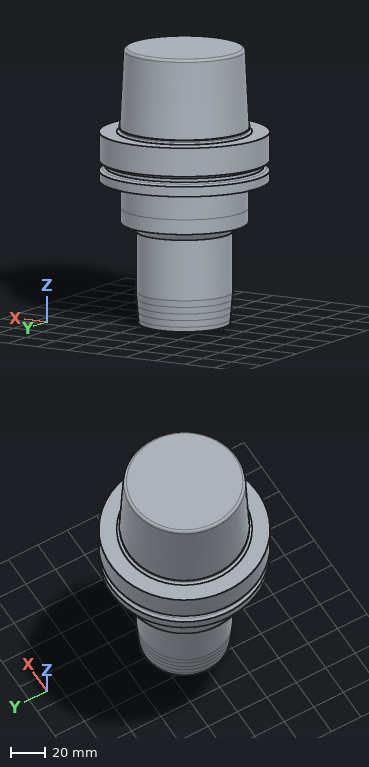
import cadquery as cq
import math


taper_length = 50.0
gauge_radius = 37.8
gauge_height = 6.3
taper_slope = 1 / 20
tip_edge_width = 1.8
tip_edge_height = 1.7

relief_top = 2.4
relief_step_height = 0.5
relief_radius = 37.6
relief_arc_top = 1.0
relief_outer_radius = 39.5

flange_radius = 50.0
flange_height = 28.9
groove_center_z = -19.95
groove_floor_width = 2.1
groove_floor_radius = 46.2
groove_ledge_radius = 48.0
groove_ledge_drop = 0.7
groove_flank_angle = 33.0

collar_radius = 37.5
collar_height = 25.0
collar_ring_z = -45.0
nose_radius = 28.4
shoulder_angle = 30.0
nose_taper_top_z = -95.0
nose_taper_angle = 5.0
nose_ring_pitch = 4.0
nose_ring_count = 4
end_z = -114.9
end_chamfer_height = 1.0
end_chamfer_width = 0.5


def taper_radius(height):
    return gauge_radius - (height - gauge_height) * taper_slope


def nose_taper_radius(z):
    return nose_radius - (nose_taper_top_z - z) * math.tan(math.radians(nose_taper_angle))


def make_taper_flange():
    groove_floor_half = groove_floor_width / 2
    groove_ledge_half = groove_floor_half + groove_ledge_drop
    flank_width = flange_radius - groove_ledge_radius
    groove_mouth_half = groove_ledge_half + flank_width * math.tan(math.radians(groove_flank_angle))
    relief_width = relief_outer_radius - relief_radius
    relief_arc_radius = (relief_width**2 + relief_arc_top**2) / (2 * relief_width)
    tip_edge_z = taper_length - tip_edge_height
    tip_radius = taper_radius(tip_edge_z)

    profile = (
        cq.Workplane("XZ")
        .moveTo(0, -flange_height)
        .lineTo(flange_radius, -flange_height)
        .lineTo(flange_radius, groove_center_z - groove_mouth_half)
        .lineTo(groove_ledge_radius, groove_center_z - groove_ledge_half)
        .lineTo(groove_floor_radius, groove_center_z - groove_floor_half)
        .lineTo(groove_floor_radius, groove_center_z + groove_floor_half)
        .lineTo(groove_ledge_radius, groove_center_z + groove_ledge_half)
        .lineTo(flange_radius, groove_center_z + groove_mouth_half)
        .lineTo(flange_radius, 0)
        .lineTo(relief_outer_radius, 0)
        .radiusArc((relief_radius, relief_arc_top), relief_arc_radius)
        .lineTo(relief_radius, relief_top - relief_step_height)
        .lineTo(taper_radius(relief_top), relief_top)
        .lineTo(tip_radius, tip_edge_z)
        .tangentArcPoint((tip_radius - tip_edge_width, taper_length), relative=False)
        .lineTo(0, taper_length)
        .close()
    )
    return profile.revolve(360, (0, 0, 0), (0, 1, 0), clean=False)


def make_shank():
    top_z = -flange_height
    shoulder_z = top_z - collar_height
    shoulder_drop = (collar_radius - nose_radius) * math.tan(math.radians(shoulder_angle))
    chamfer_z = end_z + end_chamfer_height
    chamfer_radius = nose_taper_radius(chamfer_z)

    profile = (
        cq.Workplane("YZ")
        .moveTo(0, top_z)
        .lineTo(collar_radius, top_z)
        .lineTo(collar_radius, collar_ring_z)
        .lineTo(collar_radius, shoulder_z)
        .lineTo(nose_radius, shoulder_z - shoulder_drop)
        .lineTo(nose_radius, nose_taper_top_z)
    )
    for ring in range(1, nose_ring_count + 1):
        ring_z = nose_taper_top_z - ring * nose_ring_pitch
        profile = profile.lineTo(nose_taper_radius(ring_z), ring_z)
    profile = (
        profile.lineTo(chamfer_radius, chamfer_z)
        .lineTo(chamfer_radius - end_chamfer_width, end_z)
        .lineTo(0, end_z)
        .close()
    )
    return profile.revolve(360, (0, 0, 0), (0, 1, 0), clean=False)


taper_flange = make_taper_flange()
shank = make_shank()

result = cq.Compound.makeCompound([taper_flange.val(), shank.val()])